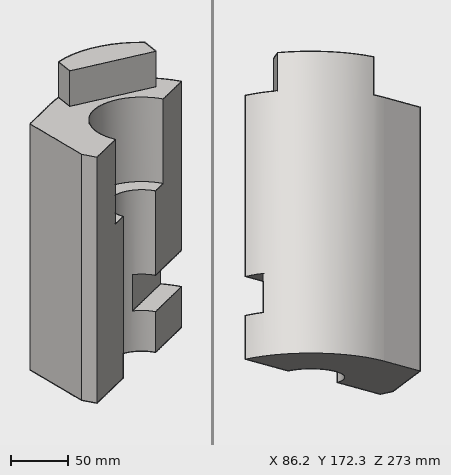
import cadquery as cq
import math

outer_radius = 172.3 / 2
total_height = 273.0
body_height = 238.5

slant_angle = 30.0
front_flat_end = 19.5

joint_setback = 4.6

bore_radius = 29.8
counterbore_radius = 46.5
counterbore_floor = 156.7

slot_bottom = 39.5
slot_top = 74.8
slot_depth = 19.0

lug_direction = 142.0
lug_width = 85.7
lug_inner_distance = 53.8


def make_body():
    """Half body: quarter cylinder at the rear, slanted flat corner in front."""
    slant_drop = (outer_radius - front_flat_end) * math.tan(math.radians(slant_angle))
    slant_start_y = -outer_radius + slant_drop
    arc_middle = outer_radius * math.sqrt(0.5)
    return (
        cq.Workplane("XY")
        .moveTo(0, outer_radius)
        .threePointArc((-arc_middle, arc_middle), (-outer_radius, 0))
        .lineTo(-outer_radius, slant_start_y)
        .lineTo(-front_flat_end, -outer_radius)
        .lineTo(-joint_setback, -outer_radius)
        .lineTo(-joint_setback, 0)
        .lineTo(0, 0)
        .close()
        .extrude(body_height)
    )


def make_bore():
    """Through bore with a wide counterbore from the top of the body."""
    bore = cq.Workplane("XY").circle(bore_radius).extrude(body_height)
    counterbore = (
        cq.Workplane("XY", origin=(0, 0, counterbore_floor))
        .circle(counterbore_radius)
        .extrude(body_height - counterbore_floor)
    )
    return bore.union(counterbore)


def make_slot():
    """Slot from the bore to the rear, open to the joint face."""
    return cq.Workplane("XY").box(
        slot_depth, outer_radius, slot_top - slot_bottom, centered=False
    ).translate((-slot_depth, 0, slot_bottom))


def make_lug():
    """Upright lug with three flat sides and a cylindrical outer side."""
    lug_height = total_height - body_height
    block = (
        cq.Workplane("XY")
        .box(outer_radius, lug_width, lug_height, centered=(False, True, False))
        .translate((lug_inner_distance, 0, 0))
    )
    cylinder = cq.Workplane("XY").circle(outer_radius).extrude(lug_height)
    return (
        block.intersect(cylinder)
        .rotate((0, 0, 0), (0, 0, 1), lug_direction)
        .translate((0, 0, body_height))
    )


result = make_body().cut(make_bore()).cut(make_slot()).union(make_lug())